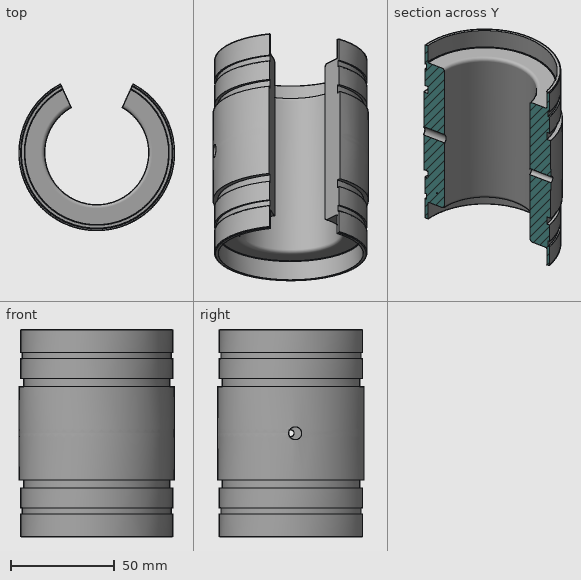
import cadquery as cq
import math

half_length = 50.0
bore_radius = 25.0
end_radius = 36.7
end_chamfer = 0.4

band_radius = 37.5
band_edge_radius = 37.4
band_half_length = 22.5

relief_radius = 35.2
relief_width = 3.8
groove_radius = 35.9
groove_width = 2.9
groove_from_end = 11.2

counterbore_radius = 34.9
counterbore_depth = 9.7
counterbore_floor_chamfer = 0.3
mouth_fillet = 1.8

opening_half_angle = 24.5
opening_apex_y = -5.1
opening_reach = 2 * band_radius

small_hole_diameter = 3.2
small_hole_y = -2.2
large_hole_diameter = 6.2


def make_half_body():
    """Upper half of the closed sleeve, revolved from its (radius, height) section."""
    relief_top = band_half_length + relief_width
    groove_top = half_length - groove_from_end
    groove_bottom = groove_top - groove_width
    floor = half_length - counterbore_depth
    crown_drop = band_radius - band_edge_radius
    crown_mid = (band_radius - crown_drop / 4, band_half_length / 2)
    fillet_inset = mouth_fillet * (1 - math.sqrt(0.5))

    section = (
        cq.Workplane("XZ")
        .moveTo(bore_radius, 0)
        .lineTo(band_radius, 0)
        .threePointArc(crown_mid, (band_edge_radius, band_half_length))
        .lineTo(relief_radius, band_half_length)
        .lineTo(relief_radius, relief_top)
        .lineTo(end_radius, relief_top)
        .lineTo(end_radius, groove_bottom)
        .lineTo(groove_radius, groove_bottom)
        .lineTo(groove_radius, groove_top)
        .lineTo(end_radius, groove_top)
        .lineTo(end_radius, half_length - end_chamfer)
        .lineTo(end_radius - end_chamfer, half_length)
        .lineTo(counterbore_radius, half_length)
        .lineTo(counterbore_radius, floor + counterbore_floor_chamfer)
        .lineTo(counterbore_radius - counterbore_floor_chamfer, floor)
        .lineTo(bore_radius + mouth_fillet, floor)
        .threePointArc(
            (bore_radius + fillet_inset, floor - fillet_inset),
            (bore_radius, floor - mouth_fillet),
        )
        .close()
    )
    return section.revolve(360, (0, 0, 0), (0, 1, 0))


def make_opening():
    half_width = opening_reach * math.tan(math.radians(opening_half_angle))
    far_y = opening_apex_y + opening_reach
    corners = [(0, opening_apex_y), (half_width, far_y), (-half_width, far_y)]
    return cq.Workplane("XY").polyline(corners).close().extrude(half_length, both=True)


def make_side_hole(diameter, y, direction):
    """Round cutter along X, from the YZ plane out through the -X (-1) or +X (+1) wall."""
    hole = cq.Workplane("YZ").center(y, 0).circle(diameter / 2)
    return hole.extrude(direction * 2 * band_radius)


half_body = make_half_body()
body = half_body.union(half_body.mirror("XY"))
body = body.cut(make_side_hole(small_hole_diameter, small_hole_y, -1))
body = body.cut(make_side_hole(large_hole_diameter, 0, 1))
result = body.cut(make_opening())